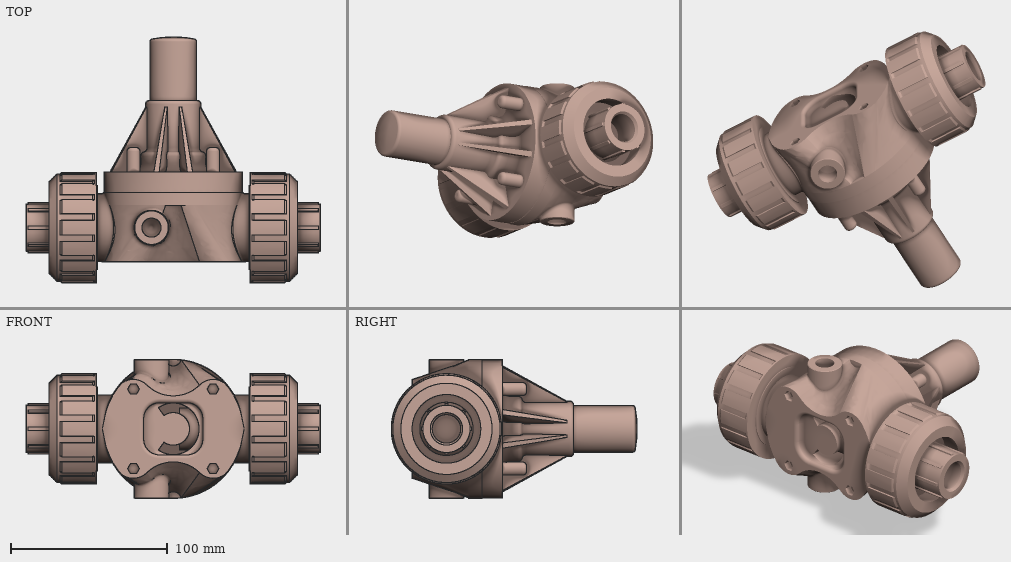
import cadquery as cq
import math


OVERALL_LENGTH = 187.91
SELECT_MARGIN = 0.1

BODY_DIA = 88.9
BODY_R = BODY_DIA / 2
FACE_Y = -21.9
SHOULDER_Y = 14.2
SPLIT_Y = 22.6
BONNET_DIA = 88.4
BONNET_TOP_Y = 35.7
BLEND_CORNER_X = 12.8
NOTCH_HALF_WIDTH = 5.0
NOTCH_Z = 40.2

EAR_X = 25.6
EAR_Z = 19.0
VALLEY_Z = 21.1

BOLT_XZ = 25.4
BOLT_DIA = 8.38
BOLT_TOP_Y = 51.2
BOLT_EDGE_R = 2.5
HEX_FLATS = 6.53
HEX_DEPTH = 5.0

POCKET_WIDTH = 42.6
POCKET_HEIGHT = 38.1
POCKET_CORNER_R = 12.5
POCKET_DEPTH = 5.0
POCKET_ROUND = 2.4
SEAT_R = 10.4
SEAT_CHANNEL_R = 16.5
CHANNEL_HALF_ANGLE = 125.0
CHANNEL_FLOOR_Y = 0.0
OUTLET_TUBE_DIA = 26.7
OUTLET_TUBE_START_X = 4.1

PORT_X = -13.9
PORT_DIA = 22.23
PORT_START_Z = 18.0
PORT_HOLE_DIA = 12.2
PORT_DEPTH = 12.0
DRILL_TIP_ANGLE = 90.0
PORT_EDGE = 0.4
PORT_ROOT_R = 1.2

STEM_DIA = 29.97
STEM_EDGE_Y = 118.7
STEM_EDGE = 2.0
STEM_TOP_Y = 121.9
BARREL_DIA = 35.56
BARREL_TOP_Y = 81.3
BARREL_ROUND = 2.54
BOSS_DIA = 43.94
BOSS_BLEND_START_Y = 45.7
BOSS_BLEND_END_Y = 51.0
BOSS_ROOT_R = 5.08
RIB_TIP_Y = 77.0
RIB_BASE_R = 41.3
RIB_TIP_R = 18.0
RIB_INNER_R = 12.0
RIB_BASE_WIDTH = 3.5
RIB_TIP_WIDTH = 1.7
RIB_SPREAD = 15.0

NECK_DIA = 43.59
NECK_ROOT_R = 1.2
END_COLLAR_DIA = 53.8
END_COLLAR_X = 48.5
NUT_INNER_X = 49.1
NUT_OUTER_X = 79.5
NUT_RIM_DIA = 58.3
NUT_BEVEL_X = 74.3
NUT_ROOT_DIA = 68.63
NUT_PAD_DIA = 70.61
PAD_END_X = 71.1
PAD_FOOT_X = 72.3
GROOVE_START_X = 50.3
GROOVE_FLOOR_X = 51.6
PAD_COUNT = 16
GROOVE_ANGLE = 6.8
NUT_OPENING_DIA = 43.94
NUT_CAVITY_X = 68.0
TAIL_DIA = 30.2
TAIL_BASE_DIA = 34.1
TAIL_END_X = OVERALL_LENGTH / 2
TAIL_RIB_COUNT = 8
TAIL_RIB_R = 16.1
TAIL_RIB_WIDTH = 2.1
TAIL_RIB_SETBACK = 1.3
SOCKET_MOUTH_DIA = 20.7
SOCKET_DIA = 18.24
SOCKET_TAPER_DEPTH = 2.0
SOCKET_DEPTH = 22.0


def polar(radius, degrees):
    angle = math.radians(degrees)
    return radius * math.cos(angle), radius * math.sin(angle)


def face_plane(y):
    """Workplane across the actuator axis: local x is X, local y is Z, normal is -Y."""
    return cq.Workplane("XZ", origin=(0, y, 0))


def disc(diameter, start_y, end_y):
    return face_plane(end_y).circle(diameter / 2).extrude(end_y - start_y)


def x_cylinder(diameter, start_x, end_x):
    return cq.Workplane("YZ", origin=(start_x, 0, 0)).circle(diameter / 2).extrude(end_x - start_x)


def mirrored_outline(y, corner, ear_mid, waist_end, waist_z):
    """Closed eight-arc outline, symmetric about X and Z, on the plane at the given y."""
    (cx, cz), (mx, mz), (wx, wz) = corner, ear_mid, waist_end
    return (
        face_plane(y)
        .moveTo(cx, -cz)
        .threePointArc((BODY_R, 0), (cx, cz))
        .threePointArc((mx, mz), (wx, wz))
        .threePointArc((0, waist_z), (-wx, wz))
        .threePointArc((-mx, mz), (-cx, cz))
        .threePointArc((-BODY_R, 0), (-cx, -cz))
        .threePointArc((-mx, -mz), (-wx, -wz))
        .threePointArc((0, -waist_z), (wx, -wz))
        .threePointArc((mx, -mz), (cx, -cz))
        .close()
        .val()
    )


def face_outline():
    """Four ears tangent to the body circle, joined by tangent waist arcs."""
    ear_offset = math.hypot(EAR_X, EAR_Z)
    ear_r = BODY_R - ear_offset
    corner = (EAR_X * BODY_R / ear_offset, EAR_Z * BODY_R / ear_offset)
    drop = VALLEY_Z - EAR_Z
    waist_r = (EAR_X**2 + drop**2 - ear_r**2) / (2 * (ear_r - drop))
    waist_center_z = VALLEY_Z + waist_r
    share = waist_r / (waist_r + ear_r)
    waist_end = (EAR_X * share, waist_center_z + (EAR_Z - waist_center_z) * share)
    return mirrored_outline(FACE_Y, corner, (EAR_X, EAR_Z + ear_r), waist_end, VALLEY_Z)


def shoulder_outline():
    def on_circle(x):
        return x, math.sqrt(BODY_R**2 - x**2)

    ear_mid_x = (BLEND_CORNER_X + NOTCH_HALF_WIDTH) / 2
    return mirrored_outline(
        SHOULDER_Y, on_circle(BLEND_CORNER_X), on_circle(ear_mid_x), on_circle(NOTCH_HALF_WIDTH), NOTCH_Z
    )


def inside_box(low, high):
    return cq.selectors.BoxSelector(low, high, boundingbox=True)


def necks():
    """Pipe through the casting, with a fillet where it leaves the casting's round sides."""
    pipe = x_cylinder(NECK_DIA, -NUT_INNER_X, NUT_INNER_X)
    sides = disc(BODY_DIA, -BONNET_TOP_Y, BONNET_TOP_Y)
    reach = NECK_DIA / 2 + SELECT_MARGIN
    rounded = sides.union(pipe)
    for side in (-1, 1):
        inner, outer = sorted((side * BODY_R / 2, side * (NUT_INNER_X - SELECT_MARGIN)))
        root = inside_box((inner, -reach, -reach), (outer, reach, reach))
        rounded = rounded.edges(root).fillet(NECK_ROOT_R)
    root_limit = x_cylinder(NECK_DIA + 2 * NECK_ROOT_R, -NUT_INNER_X, NUT_INNER_X)
    slab_side = 2 * NUT_INNER_X
    slab = face_plane(SPLIT_Y).rect(slab_side, slab_side).extrude(SPLIT_Y - FACE_Y)
    return rounded.intersect(root_limit).intersect(slab).union(pipe)


def body():
    blend = cq.Workplane(obj=cq.Solid.makeLoft([face_outline(), shoulder_outline()], True))
    flange = disc(BODY_DIA, SHOULDER_Y, SPLIT_Y)
    return blend.union(flange).union(necks())


def side_port(side):
    """Boss of one side port; side is +1 for +Z and -1 for -Z."""
    length = BODY_R - PORT_START_Z
    boss = cq.Workplane("XY").circle(PORT_DIA / 2).extrude(length).faces(">Z").edges().chamfer(PORT_EDGE)
    boss = boss.translate((PORT_X, 0, PORT_START_Z))
    return boss if side > 0 else boss.mirror("XY")


def side_port_hole(side):
    """Hole with a drill-point bottom."""
    bottom_z = BODY_R - PORT_DEPTH
    tip_depth = PORT_HOLE_DIA / 2 / math.tan(math.radians(DRILL_TIP_ANGLE / 2))
    hole = (
        cq.Workplane("XZ")
        .moveTo(0, BODY_R)
        .lineTo(PORT_HOLE_DIA / 2, BODY_R)
        .lineTo(PORT_HOLE_DIA / 2, bottom_z)
        .lineTo(0, bottom_z - tip_depth)
        .close()
        .revolve(360, (0, 0, 0), (0, 1, 0))
        .translate((PORT_X, 0, 0))
    )
    return hole if side > 0 else hole.mirror("XY")


def round_port_root(part, side):
    reach = PORT_DIA / 2 + SELECT_MARGIN
    low, high = sorted((side * PORT_START_Z, side * (BODY_R - 2 * PORT_EDGE)))
    near = inside_box((PORT_X - reach, -reach, low), (PORT_X + reach, reach, high))
    return part.edges(near).fillet(PORT_ROOT_R)


def face_pocket():
    """Rounded pocket whose floor is a seat, partly ringed by a channel that uncovers the outlet tube."""
    floor_y = FACE_Y + POCKET_DEPTH
    wall_width = POCKET_WIDTH - 2 * POCKET_ROUND
    wall_height = POCKET_HEIGHT - 2 * POCKET_ROUND
    wall_corner_r = POCKET_CORNER_R - POCKET_ROUND
    pocket = (
        face_plane(floor_y)
        .rect(wall_width, wall_height)
        .extrude(POCKET_DEPTH)
        .edges("|Y")
        .fillet(wall_corner_r)
        .faces(">Y")
        .edges()
        .fillet(POCKET_ROUND)
    )
    sector_reach = 2 * SEAT_CHANNEL_R
    upper = polar(sector_reach, CHANNEL_HALF_ANGLE)
    sector = (
        face_plane(CHANNEL_FLOOR_Y)
        .polyline([(0, 0), upper, (sector_reach, upper[1]), (sector_reach, -upper[1]), (upper[0], -upper[1])])
        .close()
        .extrude(CHANNEL_FLOOR_Y - FACE_Y)
    )
    channel = disc(2 * SEAT_CHANNEL_R, floor_y - POCKET_ROUND, CHANNEL_FLOOR_Y).intersect(sector)
    outlet_tube = x_cylinder(OUTLET_TUBE_DIA, OUTLET_TUBE_START_X, NUT_INNER_X)
    seat = disc(2 * SEAT_R, floor_y, SPLIT_Y)
    return pocket.union(channel.cut(outlet_tube).cut(seat))


def round_pocket_mouth(part):
    reach = POCKET_WIDTH / 2 + SELECT_MARGIN
    low = (-reach, FACE_Y - SELECT_MARGIN, -reach)
    high = (reach, FACE_Y + SELECT_MARGIN, reach)
    return part.edges(inside_box(low, high)).fillet(POCKET_ROUND)


def bolt_positions(y):
    return face_plane(y).rect(2 * BOLT_XZ, 2 * BOLT_XZ, forConstruction=True).vertices()


def bolts():
    shanks = bolt_positions(BOLT_TOP_Y).circle(BOLT_DIA / 2).extrude(BOLT_TOP_Y - SPLIT_Y)
    return shanks.faces(">Y").edges().fillet(BOLT_EDGE_R)


def bolt_sockets():
    across_corners = HEX_FLATS / math.cos(math.pi / 6)
    return bolt_positions(FACE_Y + HEX_DEPTH).polygon(6, across_corners).extrude(HEX_DEPTH)


def dome_middle(rim_r):
    """Point of the stem's end dome halfway out to its rim."""
    rise = STEM_TOP_Y - STEM_EDGE_Y - STEM_EDGE
    dome_r = (rim_r**2 + rise**2) / (2 * rise)
    middle_r = rim_r / 2
    return middle_r, STEM_TOP_Y - dome_r + math.sqrt(dome_r**2 - middle_r**2)


def actuator():
    """Bonnet flange, boss, barrel and domed stem, turned about Y."""
    barrel_r = BARREL_DIA / 2
    boss_r = BOSS_DIA / 2
    stem_r = STEM_DIA / 2
    half_blend = ((barrel_r - boss_r) / 2, (BOSS_BLEND_END_Y - BOSS_BLEND_START_Y) / 2)
    return (
        cq.Workplane("XY")
        .moveTo(0, SPLIT_Y)
        .lineTo(BONNET_DIA / 2, SPLIT_Y)
        .lineTo(BONNET_DIA / 2, BONNET_TOP_Y)
        .lineTo(boss_r + BOSS_ROOT_R, BONNET_TOP_Y)
        .tangentArcPoint((-BOSS_ROOT_R, BOSS_ROOT_R))
        .lineTo(boss_r, BOSS_BLEND_START_Y)
        .tangentArcPoint(half_blend)
        .tangentArcPoint(half_blend)
        .lineTo(barrel_r, BARREL_TOP_Y - BARREL_ROUND)
        .tangentArcPoint((-BARREL_ROUND, BARREL_ROUND))
        .lineTo(stem_r, BARREL_TOP_Y)
        .lineTo(stem_r, STEM_EDGE_Y)
        .tangentArcPoint((-STEM_EDGE, STEM_EDGE))
        .threePointArc(dome_middle(stem_r - STEM_EDGE), (0, STEM_TOP_Y))
        .close()
        .revolve(360, (0, 0, 0), (0, 1, 0))
    )


def rib():
    """Radial rib along +X that narrows and leans in towards the barrel."""
    def section(y, outer_r, width):
        depth = outer_r - RIB_INNER_R
        return face_plane(y).center(RIB_INNER_R + depth / 2, 0).rect(depth, width).wires().val()

    base = section(BONNET_TOP_Y, RIB_BASE_R, RIB_BASE_WIDTH)
    tip = section(RIB_TIP_Y, RIB_TIP_R, RIB_TIP_WIDTH)
    return cq.Workplane(obj=cq.Solid.makeLoft([base, tip], True))


def ribs():
    group = cq.Workplane()
    for direction in (0, 90, 180, 270):
        for lean in (-RIB_SPREAD, RIB_SPREAD):
            group = group.add(rib().rotate((0, 0, 0), (0, 1, 0), direction + lean))
    return group.combine()


def nut():
    """Union nut on +X with grip pads separated by grooves."""
    root_r = NUT_ROOT_DIA / 2
    pad_r = NUT_PAD_DIA / 2
    ring = (
        cq.Workplane("XY")
        .moveTo(NUT_INNER_X, 0)
        .lineTo(NUT_INNER_X, pad_r)
        .lineTo(PAD_END_X, pad_r)
        .lineTo(PAD_FOOT_X, root_r)
        .lineTo(NUT_BEVEL_X, root_r)
        .lineTo(NUT_OUTER_X, NUT_RIM_DIA / 2)
        .lineTo(NUT_OUTER_X, 0)
        .close()
        .revolve(360, (0, 0, 0), (1, 0, 0))
    )
    groove_band = (
        cq.Workplane("XY")
        .moveTo(GROOVE_FLOOR_X, root_r)
        .lineTo(PAD_FOOT_X, root_r)
        .lineTo(PAD_FOOT_X, pad_r)
        .lineTo(GROOVE_START_X, pad_r)
        .close()
        .revolve(360, (0, 0, 0), (1, 0, 0))
    )
    groove_width = 2 * pad_r * math.sin(math.radians(GROOVE_ANGLE / 2))
    slab = cq.Workplane("XY").box(NUT_OUTER_X, groove_width, pad_r, centered=(False, True, False))
    groove = groove_band.intersect(slab)
    pitch = 360 / PAD_COUNT
    grooves = cq.Workplane()
    for i in range(PAD_COUNT):
        grooves = grooves.add(groove.rotate((0, 0, 0), (1, 0, 0), (i + 0.5) * pitch))
    cavity = x_cylinder(NUT_OPENING_DIA, NUT_CAVITY_X, NUT_OUTER_X)
    return ring.cut(grooves.combine()).cut(cavity)


def tailpiece():
    """Ribbed pipe socket on +X with a flared root inside the nut."""
    tail_r = TAIL_DIA / 2
    base_r = TAIL_BASE_DIA / 2
    mouth_r = SOCKET_MOUTH_DIA / 2
    socket_r = SOCKET_DIA / 2
    socket_end_x = TAIL_END_X - SOCKET_DEPTH
    tube = (
        cq.Workplane("XY")
        .moveTo(NUT_INNER_X, 0)
        .lineTo(NUT_INNER_X, base_r)
        .lineTo(NUT_CAVITY_X, base_r)
        .lineTo(NUT_CAVITY_X + base_r - tail_r, tail_r)
        .lineTo(TAIL_END_X, tail_r)
        .lineTo(TAIL_END_X, mouth_r)
        .lineTo(TAIL_END_X - SOCKET_TAPER_DEPTH, socket_r)
        .lineTo(socket_end_x, socket_r)
        .lineTo(socket_end_x, 0)
        .close()
        .revolve(360, (0, 0, 0), (1, 0, 0))
    )
    rib_end_x = TAIL_END_X - TAIL_RIB_SETBACK
    rib_height = TAIL_RIB_R - (tail_r + socket_r) / 2
    tail_rib = cq.Workplane("XY").box(
        rib_end_x - NUT_CAVITY_X, TAIL_RIB_WIDTH, rib_height, centered=(False, True, False)
    )
    tail_rib = tail_rib.translate((NUT_CAVITY_X, 0, TAIL_RIB_R - rib_height))
    for i in range(TAIL_RIB_COUNT):
        tube = tube.union(tail_rib.rotate((0, 0, 0), (1, 0, 0), i * 360 / TAIL_RIB_COUNT))
    return tube


def pipe_union():
    end_collar = x_cylinder(END_COLLAR_DIA, END_COLLAR_X, NUT_INNER_X)
    return nut().union(tailpiece()).union(end_collar)


valve_body = body()
for port_side in (1, -1):
    valve_body = round_port_root(valve_body.union(side_port(port_side)), port_side)
    valve_body = valve_body.cut(side_port_hole(port_side))
valve_body = round_pocket_mouth(valve_body.cut(face_pocket())).cut(bolt_sockets())

result = valve_body.union(actuator()).union(ribs()).union(bolts())
outlet_union = pipe_union()
result = result.union(outlet_union).union(outlet_union.mirror("YZ"))